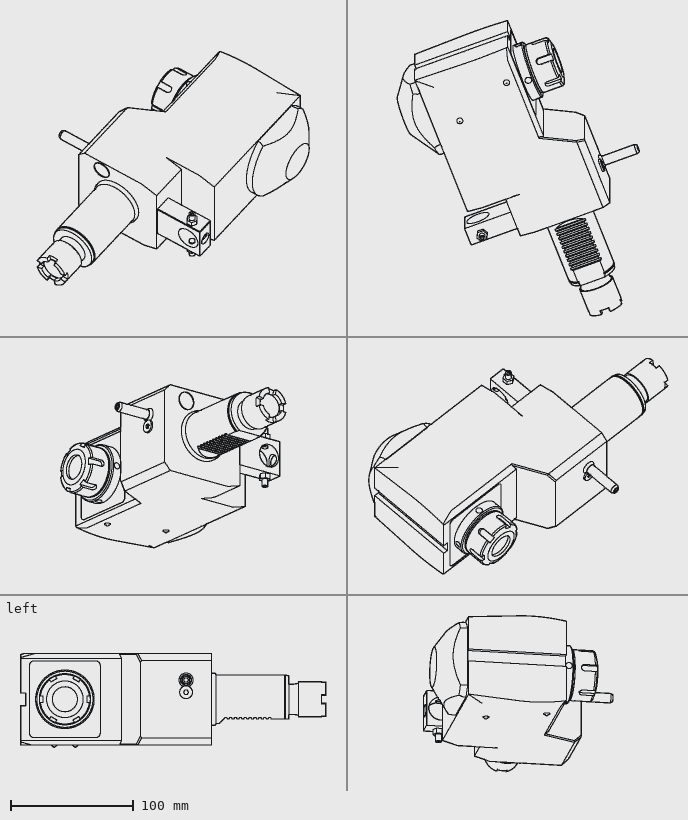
import cadquery as cq


HEIGHT = 75.0
HALF_HEIGHT = HEIGHT / 2
LEFT = -38.8
LOWER_RIGHT = 39.3
UPPER_LEFT = -9.0
UPPER_RIGHT = 72.2
STEP_Y = 34.9
BACK_Y = 155.9
SHOULDER_Y = 58.3
SHOULDER_SLOPE = 0.51
SHOULDER_EDGE = 1.0
LOWER_LEFT_BEVEL = 6.0
UPPER_LEFT_BEVEL_TOP = 4.2
UPPER_LEFT_BEVEL_BOTTOM = 3.7
BEVEL_SLOPE = 0.29
RIGHT_BEVEL_TOP = 15.2
RIGHT_BEVEL_BOTTOM = 12.7

BACK_BEVEL_X = 20.0
BACK_BEVEL_Y = 115.5
BACK_BEVEL_RADIUS_TOP = 37.4
BACK_BEVEL_RADIUS_BOTTOM = BACK_BEVEL_RADIUS_TOP + RIGHT_BEVEL_TOP - RIGHT_BEVEL_BOTTOM
BACK_BEVEL_ANGLE = 15.5
BACK_BEVEL_DEPTH = 7.5
BACK_BEVEL_START_Y = 129.5

KEYWAY_WIDTH = 10.2
KEYWAY_DEPTH = 4.0

SPINDLE_Y = 119.8
RING_RADIUS = 24.0
RING_END_X = -17.5
RING_EDGE = 1.0
NUT_RADIUS = 21.0
NUT_BACK_X = -19.0
NUT_NECK_RADIUS = 20.5
NUT_BORE_RADIUS = 10.2
NUT_BORE_DEPTH = 2.5
NUT_FACE_RADIUS = 15.0
NUT_CONE_RADIUS = 20.2
NUT_CONE_LENGTH = 1.7
NUT_EDGE_LENGTH = 3.2
NUT_SLOTS = 6
NUT_SLOT_WIDTH = 5.5
NUT_SLOT_FLOOR = 18.0
NUT_SLOT_END_X = -24.2
RING_HOLES = 4
RING_HOLE_RADIUS = 2.7
RING_HOLE_DEPTH = 2.7
PANEL_LENGTH = 57.8
PANEL_HEIGHT = 62.7
PANEL_CORNER = 4.0
PANEL_DEPTH = 0.2

COVER_RADIUS = 39.8
COVER_FACE_RADIUS = 16.5
COVER_RIM_X = 78.2
COVER_END_X = 95.0
COVER_BACK_Y = 151.1
COVER_FLAT_X = 74.7
COVER_FLAT_HEIGHT = 32.0
COVER_FLAT_SLOPE = 0.25

SHANK_RADIUS = 20.0
SHANK_END_Y = -63.0
COLLAR_RADIUS = 21.5
COLLAR_LENGTH = 3.5
SHANK_GROOVE_Y = -60.3
SHANK_GROOVE_WIDTH = 1.0
SHANK_GROOVE_DEPTH = 0.5
SHANK_END_RADIUS = 19.2
RACK_Z = -16.2
RACK_START_Y = -6.0
RACK_FIRST_GROOVE_Y = -11.5
RACK_PITCH = 4.0
RACK_GROOVES = 10
RACK_GROOVE_WIDTH = 2.5
RACK_GROOVE_FLOOR = 1.5
RACK_GROOVE_DEPTH = 1.2
NECK_RADIUS = 12.5
NECK_END_Y = -67.0
FLARE_RADIUS = 13.2
COUPLING_RADIUS = 14.5
COUPLING_Y = -70.7
COUPLING_END_Y = -93.1
COUPLING_BORE_RADIUS = 10.0
COUPLING_BORE_DEPTH = 4.0
COUPLING_SLOT_DEPTH = 3.5
COUPLING_SLOTS = 4
COUPLING_SLOT_WIDTH = 8.0
COUPLING_SLOT_TAPER = 0.4

PIN_Y = 21.0
PIN_Z = 15.7
PIN_RADIUS = 4.0
PIN_TIP_X = -71.5
PIN_TIP_RADIUS = 3.0
PIN_TIP_BEVEL = 2.0
PIN_FLANGE_RADIUS = 5.7
PIN_FLANGE_TOP_RADIUS = 4.5
PIN_FLANGE_LENGTH = 2.5
SCREW_Z = 5.7
SCREW_RADIUS = 5.2
SCREW_HEIGHT = 1.5
SOCKET_DIAMETER = 4.0
SOCKET_DEPTH = 1.2
PLUG_X = -16.0
PLUG_Z = 27.5
PLUG_RADIUS = 7.5
PLUG_DEPTH = 0.7
STUD_PLACES = [(2.5, 128.5), (49.8, 111.3)]
STUD_RADIUS = 2.5
STUD_TIP_RADIUS = 0.2
STUD_HEIGHT = 1.7

ARM_END_X = 82.0
ARM_FRONT_Y = 1.0
ARM_BACK_Y = 16.2
ARM_HEIGHT = 30.1
ARM_EDGE = 0.5
ARM_HOLE_X = 70.2
ARM_HOLE_RADIUS = 9.7
ARM_END_HOLE_RADIUS = 5.0
ARM_SCREW_Y = 6.5
ARM_SCREW_RADIUS = 2.5
ARM_SCREW_TOP = 25.1
ARM_NUT_DIAMETER = 9.2
ARM_NUT_HEIGHT = 4.2
ARM_SOCKET_DIAMETER = 2.7

OVERLAP = 1.2


def revolve_x(points):
    """Turn an (x, radius) outline about the spindle axis."""
    turned = cq.Workplane("XY").polyline(points).close().revolve(360, (0, 0), (1, 0))
    return turned.translate((0, SPINDLE_Y, 0))


def rod_x(x_start, x_end, y, z, radius, end_radius):
    """Round rod along X, tapering from radius to end_radius."""
    length = x_end - x_start
    outline = [(0, 0), (0, radius), (length, end_radius), (length, 0)]
    rod = cq.Workplane("XY").polyline(outline).close().revolve(360, (0, 0), (1, 0))
    return rod.translate((x_start, y, z))


def prism_y(points, y_start, y_end):
    """Extrude an (x, z) outline from y_start to y_end."""
    return cq.Workplane("XZ", origin=(0, y_start, 0)).polyline(points).close().extrude(y_start - y_end)


def block_section(left, right, left_top, left_bottom):
    """Block cross section: 45 degree bevels on the left, shallow bevels on the right."""
    top, bottom = HALF_HEIGHT, -HALF_HEIGHT
    return [
        (left + left_top, top),
        (right - RIGHT_BEVEL_TOP, top),
        (right, top - RIGHT_BEVEL_TOP * BEVEL_SLOPE),
        (right, bottom + RIGHT_BEVEL_BOTTOM * BEVEL_SLOPE),
        (right - RIGHT_BEVEL_BOTTOM, bottom),
        (left + left_bottom, bottom),
        (left, bottom + left_bottom),
        (left, top - left_top),
    ]


def lower_block():
    inner_y = SHOULDER_Y - SHOULDER_SLOPE * LEFT
    section = block_section(LEFT, LOWER_RIGHT, LOWER_LEFT_BEVEL, LOWER_LEFT_BEVEL)
    block = prism_y(section, 0, inner_y)
    outline = [(LEFT, 0), (LOWER_RIGHT, 0), (LOWER_RIGHT, STEP_Y), (0, inner_y), (LEFT, SHOULDER_Y)]
    plan = cq.Workplane("XY").polyline(outline).close().extrude(HALF_HEIGHT, both=True)
    block = block.intersect(plan)
    shoulder = cq.Vector(-SHOULDER_SLOPE, 1, 0).normalized()
    slanted_face = max(block.faces().vals(), key=lambda face: face.normalAt().dot(shoulder))
    return block.newObject([slanted_face]).edges("not |Z or <X").chamfer(SHOULDER_EDGE)


def upper_block():
    section = block_section(UPPER_LEFT, UPPER_RIGHT, UPPER_LEFT_BEVEL_TOP, UPPER_LEFT_BEVEL_BOTTOM)
    return prism_y(section, STEP_Y, BACK_Y)


def back_bevel(radius):
    """Material removed at the top of the back edge: outside a cone and its tangent plane."""
    low_radius = radius + BACK_BEVEL_DEPTH / BEVEL_SLOPE
    low = HALF_HEIGHT - BACK_BEVEL_DEPTH
    section = [(0, low), (low_radius, low), (radius, HALF_HEIGHT), (0, HALF_HEIGHT)]
    centre = (BACK_BEVEL_X, BACK_BEVEL_Y, 0)
    cone = cq.Workplane("XZ").polyline(section).close().revolve(360, (0, 0), (0, 1))
    ramp = cq.Workplane("YZ").polyline(section).close().extrude(UPPER_RIGHT)
    ramp = ramp.rotate((0, 0, 0), (0, 0, 1), -BACK_BEVEL_ANGLE)
    slab = cq.Workplane("XY").box(
        UPPER_RIGHT - UPPER_LEFT, BACK_Y - BACK_BEVEL_START_Y, BACK_BEVEL_DEPTH, centered=False
    )
    slab = slab.translate((UPPER_LEFT, BACK_BEVEL_START_Y, low))
    return slab.cut(cone.translate(centre)).cut(ramp.translate(centre))


def cover():
    shell = revolve_x([
        (UPPER_RIGHT - OVERLAP, 0),
        (UPPER_RIGHT - OVERLAP, COVER_RADIUS),
        (COVER_RIM_X, COVER_RADIUS),
        (COVER_END_X, COVER_FACE_RADIUS),
        (COVER_END_X, 0),
    ])
    end_height = COVER_FLAT_HEIGHT - COVER_FLAT_SLOPE * (COVER_END_X - COVER_FLAT_X)
    start_x = UPPER_RIGHT - OVERLAP
    envelope = [
        (start_x, COVER_FLAT_HEIGHT),
        (COVER_FLAT_X, COVER_FLAT_HEIGHT),
        (COVER_END_X, end_height),
        (COVER_END_X, -end_height),
        (COVER_FLAT_X, -COVER_FLAT_HEIGHT),
        (start_x, -COVER_FLAT_HEIGHT),
    ]
    return shell.intersect(prism_y(envelope, SPINDLE_Y - COVER_RADIUS, COVER_BACK_Y))


def collet_nut():
    nut = revolve_x([
        (UPPER_LEFT + OVERLAP, 0),
        (UPPER_LEFT + OVERLAP, RING_RADIUS),
        (RING_END_X + RING_EDGE, RING_RADIUS),
        (RING_END_X, RING_RADIUS - RING_EDGE),
        (RING_END_X, NUT_NECK_RADIUS),
        (NUT_BACK_X, NUT_NECK_RADIUS),
        (NUT_BACK_X, NUT_RADIUS),
        (LEFT + NUT_EDGE_LENGTH, NUT_RADIUS),
        (LEFT + NUT_CONE_LENGTH, NUT_CONE_RADIUS),
        (LEFT, NUT_FACE_RADIUS),
        (LEFT, NUT_BORE_RADIUS),
        (LEFT + NUT_BORE_DEPTH, NUT_BORE_RADIUS),
        (LEFT + NUT_BORE_DEPTH, 0),
    ])
    axis_start, axis_end = (0, SPINDLE_Y, 0), (1, SPINDLE_Y, 0)

    round_x = NUT_SLOT_END_X - NUT_SLOT_WIDTH / 2
    slot_depth = NUT_RADIUS - NUT_SLOT_FLOOR + OVERLAP
    slot = (
        cq.Workplane("XZ", origin=(0, SPINDLE_Y + NUT_SLOT_FLOOR, 0))
        .moveTo(LEFT, -NUT_SLOT_WIDTH / 2)
        .lineTo(round_x, -NUT_SLOT_WIDTH / 2)
        .threePointArc((NUT_SLOT_END_X, 0), (round_x, NUT_SLOT_WIDTH / 2))
        .lineTo(LEFT, NUT_SLOT_WIDTH / 2)
        .close()
        .extrude(-slot_depth)
    )
    for i in range(NUT_SLOTS):
        nut = nut.cut(slot.rotate(axis_start, axis_end, i * 360 / NUT_SLOTS))

    hole_x = (RING_END_X + UPPER_LEFT) / 2
    hole_outline = [(0, 0), (RING_HOLE_RADIUS, 0), (0, -RING_HOLE_DEPTH)]
    hole = cq.Workplane("XZ").polyline(hole_outline).close().revolve(360, (0, 0), (0, 1))
    hole = hole.translate((hole_x, SPINDLE_Y, RING_RADIUS))
    for i in range(RING_HOLES):
        nut = nut.cut(hole.rotate(axis_start, axis_end, i * 360 / RING_HOLES))
    return nut


def panel_recess():
    return (
        cq.Workplane("YZ", origin=(UPPER_LEFT, SPINDLE_Y, 0))
        .rect(PANEL_LENGTH, PANEL_HEIGHT)
        .extrude(PANEL_DEPTH)
        .edges("|X")
        .fillet(PANEL_CORNER)
    )


def shank():
    groove_floor = SHANK_RADIUS - SHANK_GROOVE_DEPTH
    groove_end_y = SHANK_GROOVE_Y + SHANK_GROOVE_WIDTH
    bore_y = COUPLING_END_Y + COUPLING_BORE_DEPTH
    round_size = COLLAR_RADIUS - SHANK_RADIUS
    below_collar = [
        (SHANK_RADIUS, groove_end_y),
        (groove_floor, groove_end_y),
        (groove_floor, SHANK_GROOVE_Y),
        (SHANK_RADIUS, SHANK_GROOVE_Y),
        (SHANK_END_RADIUS, SHANK_END_Y),
        (NECK_RADIUS, SHANK_END_Y),
        (NECK_RADIUS, NECK_END_Y),
        (FLARE_RADIUS, COUPLING_Y),
        (COUPLING_RADIUS, COUPLING_Y),
        (COUPLING_RADIUS, COUPLING_END_Y),
        (COUPLING_BORE_RADIUS, COUPLING_END_Y),
        (COUPLING_BORE_RADIUS, bore_y),
        (0, bore_y),
    ]
    turned = (
        cq.Workplane("XY")
        .moveTo(0, OVERLAP)
        .lineTo(COLLAR_RADIUS, OVERLAP)
        .lineTo(COLLAR_RADIUS, round_size - COLLAR_LENGTH)
        .radiusArc((SHANK_RADIUS, -COLLAR_LENGTH), round_size)
        .polyline(below_collar, includeCurrent=True)
        .close()
        .revolve(360, (0, 0), (0, 1))
    )

    reach = COUPLING_RADIUS + OVERLAP
    outer_half = (COUPLING_SLOT_WIDTH + COUPLING_SLOT_TAPER * OVERLAP) / 2
    inner_half = outer_half - COUPLING_SLOT_TAPER * reach / 2
    section = [(0, -inner_half), (reach, -outer_half), (reach, outer_half), (0, inner_half)]
    slot = prism_y(section, COUPLING_END_Y, COUPLING_END_Y + COUPLING_SLOT_DEPTH)
    for i in range(COUPLING_SLOTS):
        turned = turned.cut(slot.rotate((0, 0, 0), (0, 1, 0), i * 360 / COUPLING_SLOTS))
    return turned.cut(rack())


def rack():
    """Flat with serration grooves along the underside of the shank."""
    below = -COLLAR_RADIUS
    outline = [
        (RACK_START_Y - SHANK_RADIUS - below, below),
        (SHANK_END_Y, below),
        (SHANK_END_Y, RACK_Z),
    ]
    for i in reversed(range(RACK_GROOVES)):
        y = RACK_FIRST_GROOVE_Y - i * RACK_PITCH
        outline += [
            (y - RACK_GROOVE_WIDTH / 2, RACK_Z),
            (y - RACK_GROOVE_FLOOR / 2, RACK_Z + RACK_GROOVE_DEPTH),
            (y + RACK_GROOVE_FLOOR / 2, RACK_Z + RACK_GROOVE_DEPTH),
            (y + RACK_GROOVE_WIDTH / 2, RACK_Z),
        ]
    outline.append((RACK_START_Y - SHANK_RADIUS - RACK_Z, RACK_Z))
    return cq.Workplane("YZ").polyline(outline).close().extrude(COLLAR_RADIUS, both=True)


def socket(x, y, z):
    """Hexagon socket opening toward -X at the given point."""
    return cq.Workplane("YZ", origin=(x, y, z)).polygon(6, SOCKET_DIAMETER).extrude(SOCKET_DEPTH)


def pin_and_screw():
    inside = LEFT + OVERLAP
    body_end = PIN_TIP_X + PIN_TIP_BEVEL
    pin = rod_x(body_end, inside, PIN_Y, PIN_Z, PIN_RADIUS, PIN_RADIUS)
    pin = pin.union(rod_x(PIN_TIP_X, body_end, PIN_Y, PIN_Z, PIN_TIP_RADIUS, PIN_RADIUS))
    flange = rod_x(LEFT - PIN_FLANGE_LENGTH, LEFT, PIN_Y, PIN_Z, PIN_FLANGE_TOP_RADIUS, PIN_FLANGE_RADIUS)
    head_x = LEFT - SCREW_HEIGHT
    head = rod_x(head_x, inside, PIN_Y, SCREW_Z, SCREW_RADIUS, SCREW_RADIUS)
    pin = pin.cut(socket(PIN_TIP_X, PIN_Y, PIN_Z))
    head = head.cut(socket(head_x, PIN_Y, SCREW_Z))
    return pin.union(head).union(flange)


def plug_recess():
    return cq.Workplane("XZ", origin=(PLUG_X, 0, PLUG_Z)).circle(PLUG_RADIUS).extrude(-PLUG_DEPTH)


def stud(x, y):
    """Small pointed stud under the block."""
    outline = [
        (0, OVERLAP),
        (STUD_RADIUS, OVERLAP),
        (STUD_RADIUS, 0),
        (STUD_TIP_RADIUS, -STUD_HEIGHT),
        (0, -STUD_HEIGHT),
    ]
    turned = cq.Workplane("XZ").polyline(outline).close().revolve(360, (0, 0), (0, 1))
    return turned.translate((x, y, -HALF_HEIGHT))


def coolant_arm():
    length = ARM_END_X - LOWER_RIGHT + OVERLAP
    half_height = ARM_HEIGHT / 2
    middle_y = (ARM_FRONT_Y + ARM_BACK_Y) / 2
    arm = cq.Workplane("XY").box(length, ARM_BACK_Y - ARM_FRONT_Y, ARM_HEIGHT)
    arm = arm.faces(">X or <Y").edges("(>Z or >X) and (not <Z)").chamfer(ARM_EDGE)
    arm = arm.translate((ARM_END_X - length / 2, middle_y, 0))
    hole = cq.Workplane("XZ", origin=(ARM_HOLE_X, 0, 0)).circle(ARM_HOLE_RADIUS).extrude(-ARM_BACK_Y)
    end_hole = cq.Workplane("YZ", origin=(ARM_HOLE_X, middle_y, 0))
    end_hole = end_hole.circle(ARM_END_HOLE_RADIUS).extrude(ARM_END_X - ARM_HOLE_X)
    arm = arm.cut(hole).cut(end_hole)

    foot = ARM_HOLE_RADIUS - OVERLAP
    place = cq.Workplane("XY", origin=(ARM_HOLE_X, ARM_SCREW_Y, 0))
    screw = place.workplane(offset=foot).circle(ARM_SCREW_RADIUS).extrude(ARM_SCREW_TOP - foot)
    nut = place.workplane(offset=half_height - OVERLAP).polygon(6, ARM_NUT_DIAMETER)
    screw = screw.union(nut.extrude(ARM_NUT_HEIGHT + OVERLAP))
    hexagon = place.workplane(offset=ARM_SCREW_TOP).polygon(6, ARM_SOCKET_DIAMETER)
    screw = screw.cut(hexagon.extrude(-SOCKET_DEPTH))
    return arm.union(screw).union(screw.mirror("XY"))


block = upper_block()
block = block.cut(back_bevel(BACK_BEVEL_RADIUS_TOP))
block = block.cut(back_bevel(BACK_BEVEL_RADIUS_BOTTOM).mirror("XY"))
block = block.union(lower_block())
keyway = cq.Workplane("XY").box(2 * COVER_END_X, 2 * KEYWAY_DEPTH, KEYWAY_WIDTH)
block = block.cut(keyway.translate((0, BACK_Y, 0)))
block = block.cut(panel_recess()).cut(plug_recess())

result = block.union(cover()).union(collet_nut()).union(shank())
result = result.union(pin_and_screw()).union(coolant_arm())
for stud_x, stud_y in STUD_PLACES:
    result = result.union(stud(stud_x, stud_y))